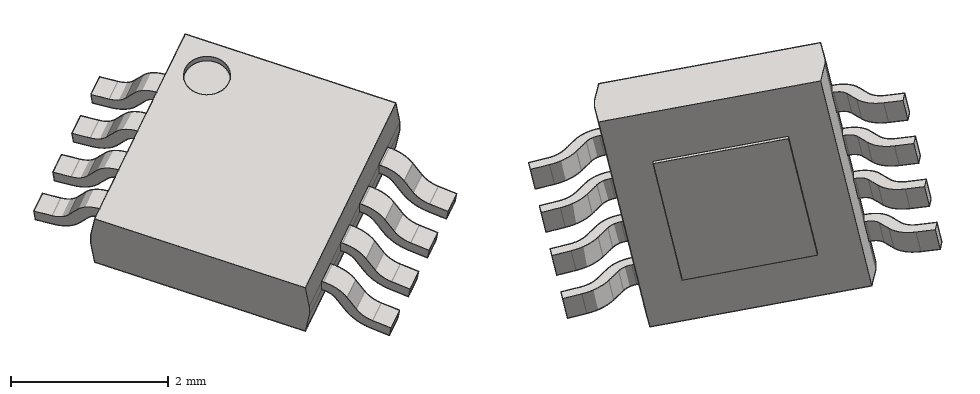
import cadquery as cq
import math

overall_height = 1.1
body_length = 3.1
body_width = 3.0
body_top_width = 2.89
standoff = 0.135
body_mid_height = (standoff + overall_height) / 2

mark_diameter = 0.6
mark_depth = 0.1
mark_edge_distance = 0.5

lead_span = 4.9
lead_width = 0.3
lead_thickness = 0.18
lead_pitch = 0.65
leads_per_side = 4
shoulder_length = 0.025
upper_bend_radius = 0.3
lower_bend_radius = 0.405
leg_angle = math.radians(56)
foot_angle = math.radians(7)

pad_side = 1.765
pad_thickness = 0.06


def make_body():
    """Hexagonal section extruded along Y, with the pin-1 mark cut into the top."""
    band_bottom = body_mid_height - lead_thickness / 2
    band_top = body_mid_height + lead_thickness / 2
    half_width = body_width / 2
    half_top = body_top_width / 2
    body = (
        cq.Workplane("XZ")
        .moveTo(-half_top, standoff)
        .lineTo(half_top, standoff)
        .lineTo(half_width, band_bottom)
        .lineTo(half_width, band_top)
        .lineTo(half_top, overall_height)
        .lineTo(-half_top, overall_height)
        .lineTo(-half_width, band_top)
        .lineTo(-half_width, band_bottom)
        .close()
        .extrude(body_length / 2, both=True)
    )
    mark_x = -(half_top - mark_edge_distance)
    mark_y = body_length / 2 - mark_edge_distance
    mark = (
        cq.Workplane("XY", origin=(mark_x, mark_y, overall_height - mark_depth))
        .circle(mark_diameter / 2)
        .extrude(mark_depth)
    )
    return body.cut(mark)


def bend_point(center, radius, angle):
    """Point on a bend, with the angle measured from straight up toward +X."""
    return (center[0] + radius * math.sin(angle), center[1] + radius * math.cos(angle))


def lead_path():
    """Centreline of a +X gull-wing lead, running outward from the body side."""
    start = (body_width / 2, body_mid_height)
    shoulder_end = (start[0] + shoulder_length, start[1])

    upper_center = (shoulder_end[0], shoulder_end[1] - upper_bend_radius)
    upper_mid = bend_point(upper_center, upper_bend_radius, leg_angle / 2)
    upper_end = bend_point(upper_center, upper_bend_radius, leg_angle)

    tip = (
        lead_span / 2 - lead_thickness / 2 * math.sin(foot_angle),
        lead_thickness / 2 * math.cos(foot_angle),
    )

    bend_run = lower_bend_radius * (math.sin(leg_angle) - math.sin(foot_angle))
    bend_drop = lower_bend_radius * (math.cos(foot_angle) - math.cos(leg_angle))
    free_run = tip[0] - upper_end[0] - bend_run
    free_drop = upper_end[1] - tip[1] - bend_drop
    leg_length = (free_drop * math.cos(foot_angle) - free_run * math.sin(foot_angle)) / math.sin(
        leg_angle - foot_angle
    )

    leg_end = (
        upper_end[0] + leg_length * math.cos(leg_angle),
        upper_end[1] - leg_length * math.sin(leg_angle),
    )
    lower_center = bend_point(leg_end, lower_bend_radius, leg_angle)
    lower_mid = bend_point(lower_center, -lower_bend_radius, (leg_angle + foot_angle) / 2)
    lower_end = bend_point(lower_center, -lower_bend_radius, foot_angle)

    return (
        cq.Workplane("XZ")
        .moveTo(*start)
        .lineTo(*shoulder_end)
        .threePointArc(upper_mid, upper_end)
        .lineTo(*leg_end)
        .threePointArc(lower_mid, lower_end)
        .lineTo(*tip)
    )


def make_lead():
    """Rectangular strip swept along the centreline, centred on Y = 0 at the +X side."""
    section = cq.Workplane("YZ", origin=(body_width / 2, 0, body_mid_height)).rect(lead_width, lead_thickness)
    return section.sweep(lead_path())


def make_leads():
    """One row of separate leads along each X side of the body."""
    right_lead = make_lead()
    left_lead = right_lead.mirror("YZ")
    leads = []
    for index in range(leads_per_side):
        lead_y = (index - (leads_per_side - 1) / 2) * lead_pitch
        for lead in (right_lead, left_lead):
            leads.append(lead.translate((0, lead_y, 0)).val())
    return leads


def make_pad():
    """Flat square pad with its underside at Z = 0."""
    return cq.Workplane("XY").rect(pad_side, pad_side).extrude(pad_thickness)


body = make_body()
leads = make_leads()
pad = make_pad()

result = cq.Compound.makeCompound([body.val(), *leads, pad.val()])